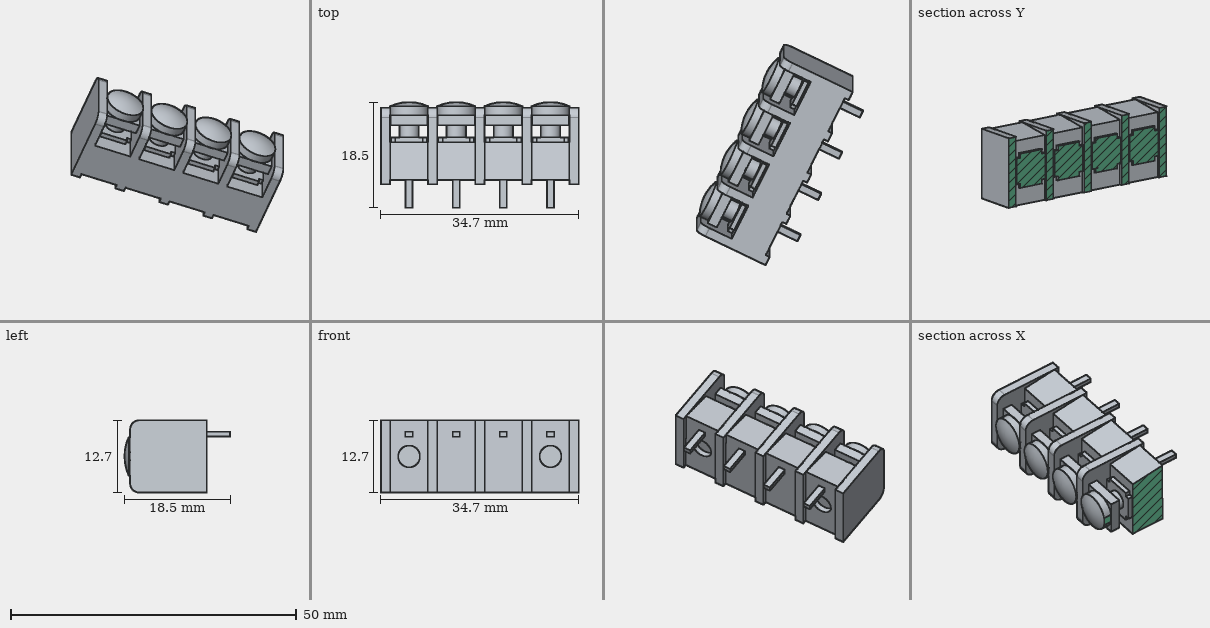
import cadquery as cq
import math


pole_count = 4
pitch = 8.255
wall_thickness = 1.65
height = 12.7
mid_height = height / 2

wall_depth = 13.46
wall_corner_radius = 1.65

housing_front = 0.76
housing_front_lean = 0.1
housing_back = 7.4
housing_back_height = 11.8

mount_hole_diameter = 3.81
mount_hole_depth = 1.1

sheet_thickness = 0.86
plate_width = 6.31
plate_notch = 0.77
pin_width = 1.27
pin_top = 10.7
pin_length = 4.1
plate_back = housing_back + sheet_thickness

shank_diameter = 3.43
clamp_size = 6.5
clamp_front = 10.34
clamp_thickness = 1.8
head_diameter = 6.75
head_rim = 13.69
head_top = 14.44
clamp_back = clamp_front + clamp_thickness


def pole_center(index):
    return wall_thickness / 2 + (index + 0.5) * pitch


def box(x_min, x_max, y_min, y_max, z_min, z_max):
    """Axis-aligned box between the given limits."""
    size = (x_max - x_min, y_max - y_min, z_max - z_min)
    return cq.Workplane("XY").box(*size, centered=False).translate((x_min, y_min, z_min))


def centered_plate(x_center, width, plate_height, y_min, y_max):
    """Plate normal to Y, centered on a screw axis."""
    half_width = width / 2
    half_height = plate_height / 2
    return box(
        x_center - half_width,
        x_center + half_width,
        y_min,
        y_max,
        mid_height - half_height,
        mid_height + half_height,
    )


def cylinder(x_center, diameter, y_min, y_max):
    """Cylinder along Y on a screw axis."""
    plane = cq.Plane((x_center, y_min, mid_height), xDir=(0, 0, 1), normal=(0, 1, 0))
    return cq.Workplane(plane).circle(diameter / 2).extrude(y_max - y_min)


def barrier_wall(index):
    x_min = index * pitch
    wall = box(x_min, x_min + wall_thickness, 0, wall_depth, 0, height)
    return wall.edges("|X and >Y").fillet(wall_corner_radius)


def housing():
    """Full-length body with a top that falls towards the screws and a leaning front."""
    profile = [
        (housing_front, 0),
        (housing_back, 0),
        (housing_back, housing_back_height),
        (housing_front + housing_front_lean, height),
    ]
    return cq.Workplane("YZ").polyline(profile).close().extrude(pole_count * pitch)


def terminal_plate(x_center):
    """Square plate with a square notch in each corner."""
    inner_width = plate_width - 2 * plate_notch
    wide_bar = centered_plate(x_center, plate_width, inner_width, housing_back, plate_back)
    tall_bar = centered_plate(x_center, inner_width, plate_width, housing_back, plate_back)
    return wide_bar.union(tall_bar)


def pin(x_center):
    half_width = pin_width / 2
    return box(
        x_center - half_width,
        x_center + half_width,
        -pin_length,
        housing_back,
        pin_top - sheet_thickness,
        pin_top,
    )


def screw_head(x_center):
    """Round head with a domed end, revolved about the screw axis."""
    radius = head_diameter / 2
    dome_height = head_top - head_rim
    dome_radius = (radius**2 + dome_height**2) / (2 * dome_height)
    half_angle = math.asin(radius / dome_radius) / 2
    arc_middle = (
        dome_radius * math.sin(half_angle),
        head_top - dome_radius * (1 - math.cos(half_angle)),
    )
    plane = cq.Plane((x_center, 0, mid_height), xDir=(0, 0, 1), normal=(-1, 0, 0))
    return (
        cq.Workplane(plane)
        .moveTo(0, clamp_back)
        .lineTo(radius, clamp_back)
        .lineTo(radius, head_rim)
        .threePointArc(arc_middle, (0, head_top))
        .close()
        .revolve(360, (0, 0, 0), (0, 1, 0))
    )


def clamp_screw(x_center):
    shank = cylinder(x_center, shank_diameter, plate_back, clamp_front)
    clamp = centered_plate(x_center, clamp_size, clamp_size, clamp_front, clamp_back)
    return shank.union(clamp).union(screw_head(x_center))


result = housing()
for wall_index in range(pole_count + 1):
    result = result.union(barrier_wall(wall_index))

for pole_index in range(pole_count):
    center = pole_center(pole_index)
    result = result.union(terminal_plate(center))
    result = result.union(pin(center))
    result = result.union(clamp_screw(center))

for end_pole in (0, pole_count - 1):
    hole_end = housing_front + mount_hole_depth
    result = result.cut(cylinder(pole_center(end_pole), mount_hole_diameter, 0, hole_end))